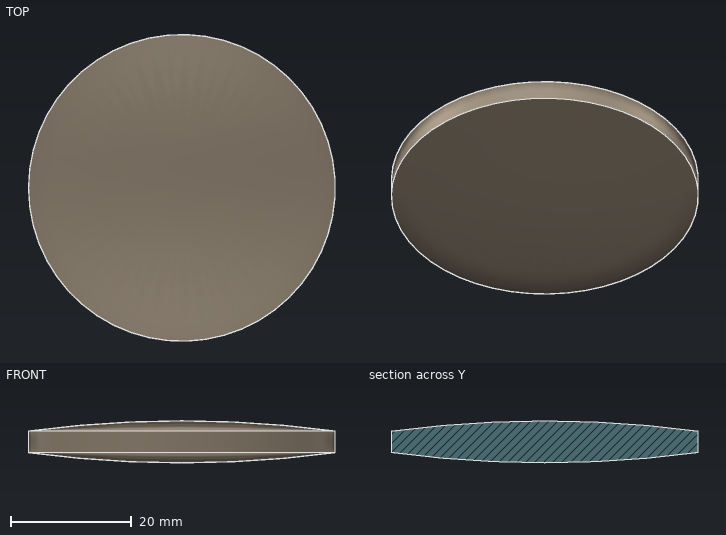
import cadquery as cq
import math

diameter = 50.8
center_thickness = 7.0
edge_thickness = 3.6

radius = diameter / 2
half_center = center_thickness / 2
half_edge = edge_thickness / 2

sag = half_center - half_edge
sphere_radius = (radius**2 + sag**2) / (2 * sag)

mid_radius = radius / 2
mid_height = half_center - sphere_radius + math.sqrt(sphere_radius**2 - mid_radius**2)


def lens():
    """Half section of the lens, from the axis to the rim, revolved about Z."""
    section = (
        cq.Workplane("XZ")
        .moveTo(0, -half_center)
        .threePointArc((-mid_radius, -mid_height), (-radius, -half_edge))
        .lineTo(-radius, half_edge)
        .threePointArc((-mid_radius, mid_height), (0, half_center))
        .close()
    )
    full_turn = 360
    return section.revolve(full_turn, (0, 0), (0, 1))


result = lens()